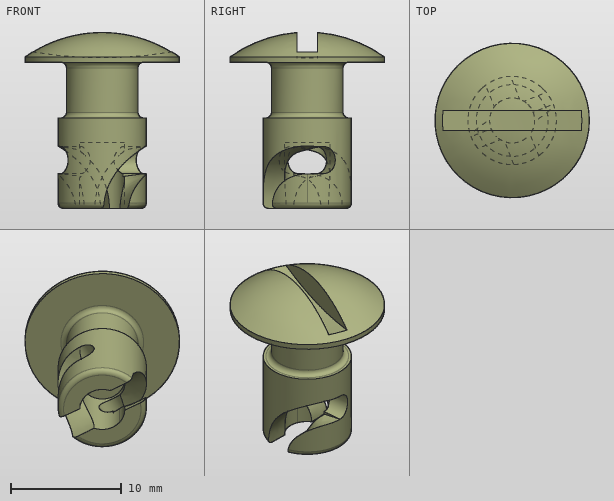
import cadquery as cq
import math

total_height = 15.94
head_radius = 7.0
head_bottom = 13.23
rim_thickness = 0.5
rim_top = head_bottom + rim_thickness

driver_width = 1.83
driver_half_length = 6.7
driver_end_height = 14.25
driver_dish = 0.6

dome_edge = driver_width / 2
dome_centre = (dome_edge**2 + total_height**2 - head_radius**2 - rim_top**2) / (2 * (total_height - rim_top))
dome_radius = math.hypot(dome_edge, total_height - dome_centre)
dome_top = dome_centre + dome_radius

shank_radius = 3.25
body_radius = 4.0
body_top = 8.21
edge_fillet = 0.5

bore_radius = 2.04
bore_depth = 6.0

groove_half_width = 1.23
groove_height = 4.38
pocket_angle = -21.5
upper_mouth_angle = 88.0
lower_mouth_angle = 53.0
upper_inner_angle = 109.0
lower_inner_angle = 38.0
inner_drop = 0.25
curve_steps = 16
level_steps = 4
clearance = 0.48


def revolved_blank():
    """Domed head, shank and body turned about Z."""
    mid_radius = head_radius / 2
    mid_height = dome_centre + math.sqrt(dome_radius**2 - mid_radius**2)
    solid = (
        cq.Workplane("XZ")
        .lineTo(body_radius, 0)
        .lineTo(body_radius, body_top)
        .lineTo(shank_radius, body_top)
        .lineTo(shank_radius, head_bottom)
        .lineTo(head_radius, head_bottom)
        .lineTo(head_radius, rim_top)
        .threePointArc((mid_radius, mid_height), (0, dome_top))
        .close()
        .revolve(360, (0, 0), (0, 1))
    )
    solid = solid.edges(cq.selectors.RadiusNthSelector(0)).fillet(edge_fillet)
    return solid.faces("<Z").edges().fillet(edge_fillet)


def driver_slot():
    """Slot along X through the dome, its floor dished along its length."""
    return (
        cq.Workplane("XZ", origin=(0, driver_width / 2, 0))
        .moveTo(-driver_half_length, driver_end_height)
        .threePointArc((0, driver_end_height - driver_dish), (driver_half_length, driver_end_height))
        .lineTo(driver_half_length, total_height + clearance)
        .lineTo(-driver_half_length, total_height + clearance)
        .close()
        .extrude(driver_width)
    )


def bore():
    """Flat-ended hole up the axis."""
    return cq.Workplane("XY").circle(bore_radius).extrude(bore_depth)


def on_cylinder(radius, angle, height):
    """Point at an angle and height on a cylinder about Z."""
    turn = math.radians(angle)
    return cq.Vector(-radius * math.cos(turn), radius * math.sin(turn), height)


def wall_line(crown_angle, mouth_angle, crown_height):
    """(angle, height) stations of a wall edge: level to its crown, then a quarter ellipse down."""
    stations = []
    if crown_angle > pocket_angle:
        level_step = (crown_angle - pocket_angle) / level_steps
        stations += [(pocket_angle + level_step * i, crown_height) for i in range(level_steps)]
    quarter_steps = curve_steps - len(stations)
    for i in range(quarter_steps + 1):
        turn = math.pi / 2 * i / quarter_steps
        angle = crown_angle + (mouth_angle - crown_angle) * math.sin(turn)
        stations.append((angle, crown_height * math.cos(turn)))
    stations.append((mouth_angle, -clearance))
    return stations


def wall_curves(outer_line, inner_line):
    """Outer and inner rails of one groove wall, run on past the body and into the bore."""
    outer_rail = []
    inner_rail = []
    overrun = clearance / (body_radius - bore_radius)
    for outer_station, inner_station in zip(outer_line, inner_line):
        outside = on_cylinder(body_radius, *outer_station)
        inside = on_cylinder(bore_radius, *inner_station)
        step = (outside - inside) * overrun
        outer_rail.append(outside + step)
        inner_rail.append(inside - step)
    return cq.Edge.makeSpline(outer_rail), cq.Edge.makeSpline(inner_rail)


def groove_run():
    """Curved run of a groove, closed by ruled faces between its four rails."""
    top = groove_height + groove_half_width
    bottom = groove_height - groove_half_width
    upper_out, upper_in = wall_curves(
        wall_line(0, upper_mouth_angle, top),
        wall_line(pocket_angle, upper_inner_angle, top - inner_drop),
    )
    lower_out, lower_in = wall_curves(
        wall_line(0, lower_mouth_angle, bottom),
        wall_line(pocket_angle, lower_inner_angle, bottom - inner_drop),
    )
    rails = [upper_out, upper_in, lower_in, lower_out]
    faces = [cq.Face.makeRuledSurface(rail, rails[i - 1]) for i, rail in enumerate(rails)]
    for end in (0, 1):
        corners = [rail.positionAt(end) for rail in rails]
        upper_side = cq.Edge.makeLine(corners[0], corners[1])
        lower_side = cq.Edge.makeLine(corners[3], corners[2])
        faces.append(cq.Face.makeRuledSurface(upper_side, lower_side))
    return cq.Workplane(cq.Solid.makeSolid(cq.Shell.makeShell(faces)).fix())


def groove_pocket():
    """Rounded closed end, milled straight in towards the axis."""
    direction = on_cylinder(1, pocket_angle, 0)
    axis_plane = cq.Plane(origin=(0, 0, groove_height), xDir=(0, 0, 1), normal=direction)
    return cq.Workplane(axis_plane).circle(groove_half_width).extrude(body_radius + clearance)


result = revolved_blank().cut(driver_slot()).cut(bore())
for side_angle in (0, 180):
    for cutter in (groove_run(), groove_pocket()):
        result = result.cut(cutter.rotate((0, 0, 0), (0, 0, 1), side_angle))